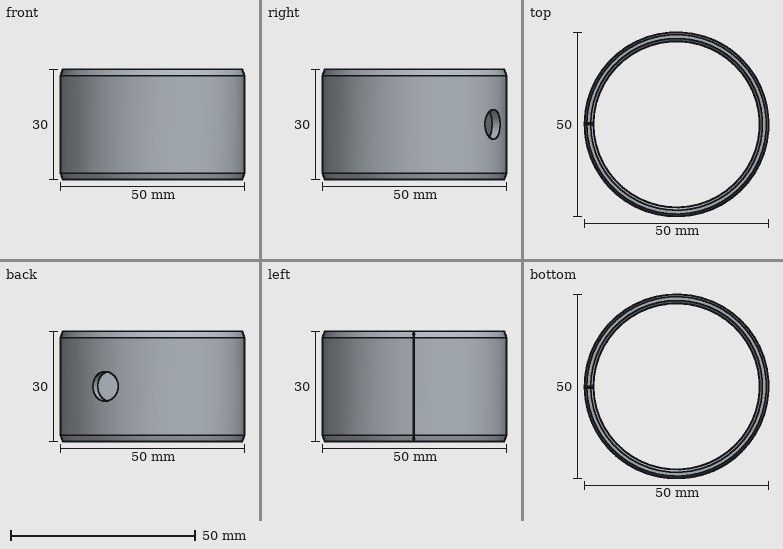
import cadquery as cq
import math

outer_diameter = 50.0
wall = 2.5
height = 30.0

outer_chamfer_height = 1.75
outer_chamfer_angle = 20.0

inner_chamfer = 0.8

slit_width = 0.4

hole_diameter = 8.0
hole_angle = 59.0

outer_radius = outer_diameter / 2
inner_radius = outer_radius - wall
half_height = height / 2
outer_chamfer_depth = outer_chamfer_height * math.tan(math.radians(outer_chamfer_angle))


def make_ring():
    """Revolve the chamfered wall section about Z, with the seam on the -X side."""
    shoulder = half_height - outer_chamfer_height
    rim_outer = outer_radius - outer_chamfer_depth
    rim_inner = inner_radius + inner_chamfer
    bore_end = half_height - inner_chamfer
    section = [
        (inner_radius, -bore_end),
        (rim_inner, -half_height),
        (rim_outer, -half_height),
        (outer_radius, -shoulder),
        (outer_radius, shoulder),
        (rim_outer, half_height),
        (rim_inner, half_height),
        (inner_radius, bore_end),
    ]
    ring = cq.Workplane("XZ").polyline(section).close().revolve(360, (0, 0, 0), (0, 1, 0))
    return ring.rotate((0, 0, 0), (0, 0, 1), 180)


def make_slit():
    """Thin box that splits the ring on its -X side."""
    slit = cq.Workplane("XY").box(outer_radius, slit_width, height, centered=(False, False, True))
    return slit.translate((-outer_radius, 0, 0))


def make_hole():
    """Radial cylinder that crosses the wall on one side only."""
    cylinder = cq.Workplane("YZ").circle(hole_diameter / 2).extrude(outer_radius)
    return cylinder.rotate((0, 0, 0), (0, 0, 1), hole_angle)


result = make_ring().cut(make_slit()).cut(make_hole())